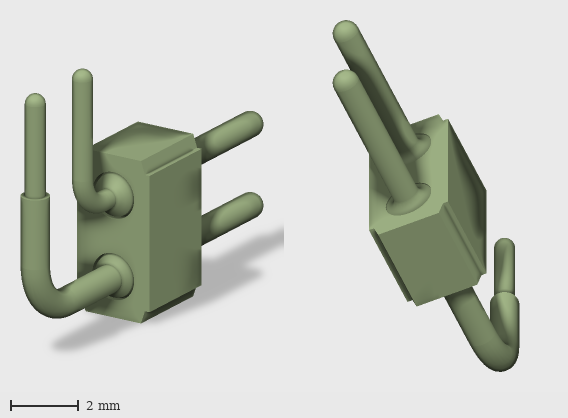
import cadquery as cq
import math

pitch = 2.55
housing_height = 2 * pitch
housing_depth = 2.82
corner_height = 0.41
shoulder_width = 0.16
corner_width = 0.3
bore_radius = 0.73

collar_radius = 0.66
collar_inset = 0.02
lead_in_length = 0.26
tail_radius = 0.4
tail_length = 4.95
flare_radius = 0.26
flare_length = 0.22

leg_radius = 0.31
sleeve_radius = 0.43
leg_tip_height = 3.19
upper_reach = 1.66
upper_bend = 1.04
lower_reach = upper_reach + pitch
lower_bend = 1.64

housing_bottom = -pitch / 2
housing_top = housing_bottom + housing_height
lower_axis = 0
upper_axis = pitch
leg_tip = housing_top + leg_tip_height
arc_middle = math.sqrt(0.5)


def make_housing():
    """Block with relieved corners and a through bore for each pin."""
    side = pitch / 2
    half_height = housing_height / 2
    upper_right = [
        (side, half_height - corner_height),
        (side - shoulder_width, half_height - corner_height),
        (side - corner_width, half_height),
    ]
    lower_right = [(x, -z) for x, z in reversed(upper_right)]
    right = lower_right + upper_right
    left = [(-x, -z) for x, z in right]
    block = (
        cq.Workplane("XZ", origin=(0, 0, housing_bottom + half_height))
        .polyline(right + left)
        .close()
        .extrude(-housing_depth)
    )
    bores = (
        cq.Workplane("XZ")
        .pushPoints([(0, lower_axis), (0, upper_axis)])
        .circle(bore_radius)
        .extrude(-housing_depth)
    )
    return block.cut(bores).solids()


def make_shaft(wire_radius, axis_height, cone_front):
    """Turned part of a pin: collar cone, core, back flare and domed tail."""
    tip = housing_depth + tail_length
    flare_front = housing_depth + flare_length - flare_radius
    flare_middle = (
        tail_radius + flare_radius * (1 - arc_middle),
        flare_front + flare_radius * (1 - arc_middle),
    )
    dome_middle = (tail_radius * arc_middle, tip - tail_radius * (1 - arc_middle))
    return (
        cq.Workplane("XY", origin=(0, 0, axis_height))
        .moveTo(0, cone_front)
        .lineTo(wire_radius, cone_front)
        .lineTo(collar_radius, collar_inset)
        .lineTo(bore_radius, collar_inset + lead_in_length)
        .lineTo(bore_radius, flare_front)
        .lineTo(tail_radius + flare_radius, flare_front)
        .threePointArc(flare_middle, (tail_radius, flare_front + flare_radius))
        .lineTo(tail_radius, tip - tail_radius)
        .threePointArc(dome_middle, (0, tip))
        .close()
        .revolve(360, (0, 0, 0), (0, 1, 0))
    )


def make_bent_wire(wire_radius, axis_height, cone_front, reach, bend):
    """Round wire that runs forward from the cone and bends up to vertical."""
    bend_middle = (
        bend * (1 - arc_middle) - reach,
        axis_height + bend * (1 - arc_middle),
    )
    path = (
        cq.Workplane("YZ")
        .moveTo(cone_front, axis_height)
        .lineTo(bend - reach, axis_height)
        .threePointArc(bend_middle, (-reach, axis_height + bend))
    )
    section = cq.Workplane("XZ", origin=(0, cone_front, axis_height)).circle(wire_radius)
    return section.sweep(path)


def make_upright(wire_radius, bottom, reach):
    """Upright end of a pin: wire up to the housing top, then a thin domed leg."""
    dome_middle = (leg_radius * arc_middle, leg_tip - leg_radius * (1 - arc_middle))
    outline = cq.Workplane("XZ", origin=(0, -reach, 0)).moveTo(0, bottom).lineTo(wire_radius, bottom)
    if wire_radius > leg_radius:
        outline = outline.lineTo(wire_radius, housing_top).lineTo(leg_radius, housing_top)
    return (
        outline.lineTo(leg_radius, leg_tip - leg_radius)
        .threePointArc(dome_middle, (0, leg_tip))
        .close()
        .revolve(360, (0, 0, 0), (0, 1, 0))
    )


def make_pin(wire_radius, axis_height, reach, bend):
    """Complete pin: turned shaft, bent wire and upright end."""
    cone_front = collar_inset - (collar_radius - wire_radius)
    shaft = make_shaft(wire_radius, axis_height, cone_front)
    wire = make_bent_wire(wire_radius, axis_height, cone_front, reach, bend)
    upright = make_upright(wire_radius, axis_height + bend, reach)
    return shaft.union(wire).union(upright).solids()


housing = make_housing()
lower_pin = make_pin(sleeve_radius, lower_axis, lower_reach, lower_bend)
upper_pin = make_pin(leg_radius, upper_axis, upper_reach, upper_bend)

result = cq.Compound.makeCompound([housing.val(), lower_pin.val(), upper_pin.val()])